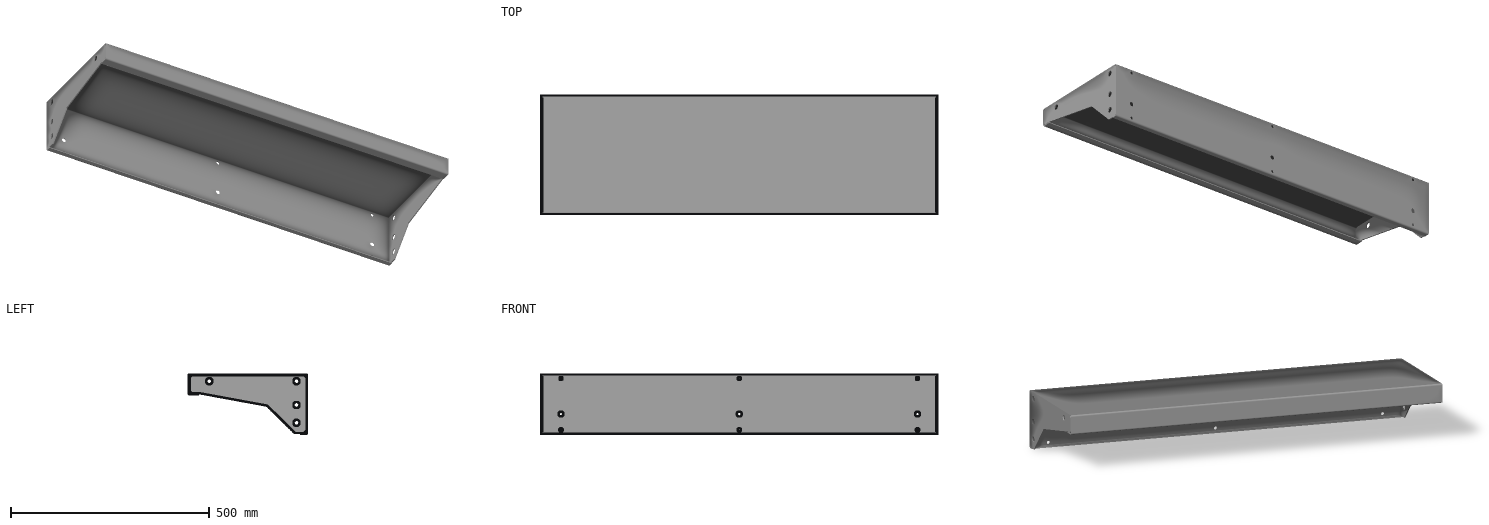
import cadquery as cq

LENGTH = 1000.0
DEPTH = 300.0
HEIGHT = 150.0

SHEET = 2.0
BEND_RADIUS = 4.0
LIP_HEIGHT = 50.0
LIP_FLANGE = 25.0
WALL_FLANGE = 15.0

WALL_HOLE_INSET = 50.0
EDGE_HOLE_INSET = 10.0
EDGE_HOLE_DIAMETER = 8.0
MOUNT_HOLE_HEIGHT = 50.0
MOUNT_HOLE_DIAMETER = 12.0

BRACKET_THICKNESS = 3.0
LIP_CLEARANCE = 1.0
CORNER_CHAMFER = 5.0
FOOT_WIDTH = 31.0
TOE_WIDTH = 25.0
KNEE_Y = -49.0
KNEE_Z = 71.0
BRACKET_HOLE_DIAMETER = 15.0
WALL_SIDE_HOLE_Y = -123.0
LIP_SIDE_HOLE_Y = 97.0
TOP_HOLE_Z = 133.0
MIDDLE_HOLE_Z = 73.0
BOTTOM_HOLE_Z = 28.0

WALL_Y = -DEPTH / 2
LIP_Y = DEPTH / 2
LIP_Z = HEIGHT - LIP_HEIGHT


def sheet_face(offset):
    """Sharp-cornered section (y, z) of the sheet face that lies this far inside the outer face."""
    return [
        (WALL_Y + WALL_FLANGE, offset),
        (WALL_Y + offset, offset),
        (WALL_Y + offset, HEIGHT - offset),
        (LIP_Y - offset, HEIGHT - offset),
        (LIP_Y - offset, LIP_Z + offset),
        (LIP_Y - LIP_FLANGE, LIP_Z + offset),
    ]


def round_bends(sheet, face, radius):
    """Round the four long bend edges of one face; its first and last points are free edges."""
    for y, z in face[1:-1]:
        sheet = sheet.edges(cq.NearestToPointSelector((0, y, z))).fillet(radius)
    return sheet


def make_wall_holes():
    """Drills through the tall wall: an edge hole, a mounting hole and an edge hole per column."""
    column_x = LENGTH / 2 - WALL_HOLE_INSET
    columns = (-column_x, 0, column_x)
    wall_inside = cq.Workplane("XZ", origin=(0, WALL_Y + SHEET, 0))
    edge_heights = (EDGE_HOLE_INSET, HEIGHT - EDGE_HOLE_INSET)
    edge_holes = (
        wall_inside.pushPoints([(x, z) for x in columns for z in edge_heights])
        .circle(EDGE_HOLE_DIAMETER / 2)
        .extrude(SHEET)
    )
    mount_holes = (
        wall_inside.pushPoints([(x, MOUNT_HOLE_HEIGHT) for x in columns])
        .circle(MOUNT_HOLE_DIAMETER / 2)
        .extrude(SHEET)
    )
    return edge_holes, mount_holes


def make_shelf():
    outer = sheet_face(0)
    inner = sheet_face(SHEET)
    shelf = cq.Workplane("YZ").polyline(outer + inner[::-1]).close().extrude(LENGTH / 2, both=True)
    shelf = round_bends(shelf, outer, BEND_RADIUS)
    shelf = round_bends(shelf, inner, BEND_RADIUS - SHEET)
    for holes in make_wall_holes():
        shelf = shelf.cut(holes)
    return shelf.solids()


def make_bracket(x_min):
    """Flat end plate from x_min, with a sloping underside and chamfered corners."""
    wall_side = WALL_Y + SHEET
    lip_side = LIP_Y - SHEET - LIP_CLEARANCE
    top = HEIGHT - SHEET
    foot = SHEET
    toe = LIP_Z + SHEET + LIP_CLEARANCE
    face = cq.Workplane("YZ", origin=(x_min, 0, 0))
    plate = (
        face.moveTo(wall_side + CORNER_CHAMFER, foot)
        .lineTo(WALL_Y + FOOT_WIDTH, foot)
        .lineTo(KNEE_Y, KNEE_Z)
        .lineTo(LIP_Y - TOE_WIDTH, toe)
        .lineTo(lip_side - CORNER_CHAMFER, toe)
        .lineTo(lip_side, toe + CORNER_CHAMFER)
        .lineTo(lip_side, top - CORNER_CHAMFER)
        .lineTo(lip_side - CORNER_CHAMFER, top)
        .lineTo(wall_side + CORNER_CHAMFER, top)
        .lineTo(wall_side, top - CORNER_CHAMFER)
        .lineTo(wall_side, foot + CORNER_CHAMFER)
        .close()
        .extrude(BRACKET_THICKNESS)
    )
    hole_centres = [(WALL_SIDE_HOLE_Y, z) for z in (TOP_HOLE_Z, MIDDLE_HOLE_Z, BOTTOM_HOLE_Z)]
    hole_centres.append((LIP_SIDE_HOLE_Y, TOP_HOLE_Z))
    holes = face.pushPoints(hole_centres).circle(BRACKET_HOLE_DIAMETER / 2).extrude(BRACKET_THICKNESS)
    return plate.cut(holes).solids()


shelf = make_shelf()

bracket_starts = (-LENGTH / 2, LENGTH / 2 - BRACKET_THICKNESS)
brackets = [make_bracket(x_min) for x_min in bracket_starts]

result = cq.Compound.makeCompound([shelf.val(), *[bracket.val() for bracket in brackets]])